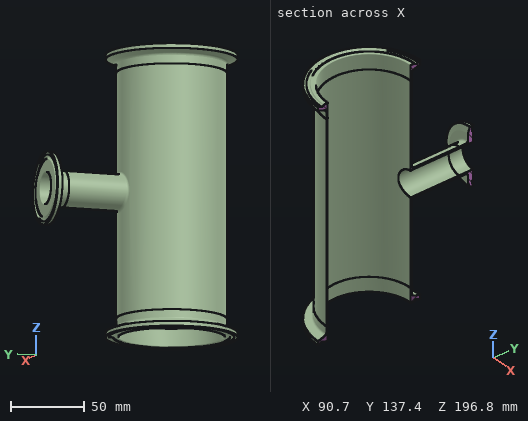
import cadquery as cq
import math

overall_height = 196.8
run_outer_radius = 76.2 / 2
run_flange_radius = 90.7 / 2
run_groove_radius = 41.5

overall_depth = 137.4
branch_face_y = overall_depth - run_flange_radius
branch_outer_radius = 25.4 / 2
branch_flange_radius = 25.2
branch_groove_radius = 21.6
branch_shoulder_radius = 20.0

wall = 1.65
ferrule_length = 12.8
rim_thickness = 3.3
cone_angle = math.radians(18)
neck_fillet = 2.0
groove_half_width = 1.5
groove_depth = 1.2
lip_fillet = 0.5
junction_fillet = 1.5

run_bore_radius = run_outer_radius - wall
branch_bore_radius = branch_outer_radius - wall


def ferrule(outer_radius, flange_radius, groove_radius, shoulder_radius):
    """Clamp ferrule on the Z axis: sealing face at z = 0, tube end at -ferrule_length."""
    cone_drop = (flange_radius - shoulder_radius) * math.tan(cone_angle)
    back_z = -rim_thickness - cone_drop
    profile = (
        cq.Workplane("XZ")
        .moveTo(outer_radius - wall, 0)
        .lineTo(groove_radius - groove_half_width, 0)
        .threePointArc((groove_radius, -groove_depth), (groove_radius + groove_half_width, 0))
        .lineTo(flange_radius, 0)
        .lineTo(flange_radius, -rim_thickness)
        .lineTo(shoulder_radius, back_z)
    )
    if shoulder_radius > outer_radius:
        profile = profile.lineTo(outer_radius, back_z)
    body = (
        profile.lineTo(outer_radius, -ferrule_length)
        .lineTo(outer_radius - wall, -ferrule_length)
        .close()
        .revolve(360, (0, 0, 0), (0, 1, 0))
    )
    lip_edges = [
        edge for edge in body.edges("%CIRCLE").edges(">Z").vals()
        if edge.radius() < flange_radius - lip_fillet
    ]
    body = body.newObject(lip_edges).fillet(lip_fillet)

    neck_corner = cq.selectors.BoxSelector(
        (-flange_radius, -flange_radius, back_z - neck_fillet / 2),
        (flange_radius, flange_radius, back_z + neck_fillet / 2),
    )
    corner_edges = [
        edge for edge in body.edges(neck_corner).vals()
        if edge.geomType() == "CIRCLE" and abs(edge.radius() - outer_radius) < wall / 2
    ]
    return body.newObject(corner_edges).fillet(neck_fillet)


def tee_body():
    """Main tube and side branch in one piece, with a fillet around their junction."""
    run_length = overall_height - 2 * ferrule_length
    branch_length = branch_face_y - ferrule_length
    run = cq.Workplane("XY").circle(run_outer_radius).extrude(run_length / 2, both=True)
    branch = cq.Workplane("XZ").circle(branch_outer_radius).extrude(-branch_length)
    outside = run.union(branch)
    junction = cq.selectors.BoxSelector(
        (-run_outer_radius, branch_outer_radius, -2 * branch_outer_radius),
        (run_outer_radius, run_outer_radius + wall, 2 * branch_outer_radius),
    )
    outside = outside.edges(junction).fillet(junction_fillet)
    run_bore = cq.Workplane("XY").circle(run_bore_radius).extrude(run_length / 2, both=True)
    branch_bore = cq.Workplane("XZ").circle(branch_bore_radius).extrude(-branch_length)
    return outside.cut(run_bore).cut(branch_bore)


tee = tee_body()

run_ferrules = []
for turn in (0, 180):
    run_ferrules.append(
        ferrule(run_outer_radius, run_flange_radius, run_groove_radius, run_outer_radius)
        .translate((0, 0, overall_height / 2))
        .rotate((0, 0, 0), (1, 0, 0), turn)
        .val()
    )

branch_ferrule = (
    ferrule(branch_outer_radius, branch_flange_radius, branch_groove_radius, branch_shoulder_radius)
    .translate((0, 0, branch_face_y))
    .rotate((0, 0, 0), (1, 0, 0), -90)
)

result = cq.Compound.makeCompound([tee.val(), *run_ferrules, branch_ferrule.val()])